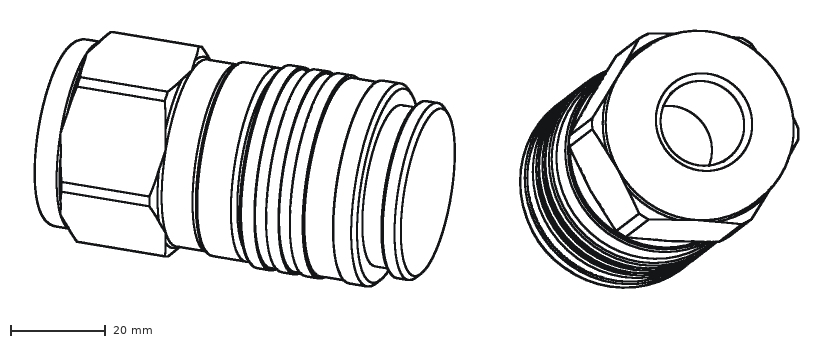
import cadquery as cq
import math

LENGTH = 81.5

NUT_RADIUS = 20.05
NUT_END = 36.6
NUT_FRONT_ROUND = 2.0

HEX_FLAT_RADIUS = NUT_RADIUS
HEX_CORNER_RADIUS = 22.5
HEX_CORNER_START = 7.4
HEX_CORNER_END = 27.0
HEX_CONE_ANGLE = 30.0
HEX_ROOT_FILLET = 0.9

EDGE_CHAMFER = 0.5

NECK_RADIUS = 19.2
COLLAR_RADIUS = 20.8
COLLAR_START = NUT_END
COLLAR_END = 44.6
COLLAR_BACK_ANGLE = 30.0

SLEEVE_RADIUS = 21.8
SLEEVE_START = 46.7
SLEEVE_END = 72.7
SLEEVE_BACK_CHAMFER = 1.0
GROOVE_RADIUS = 21.3
NARROW_GROOVES = [(50.1, 52.7), (55.5, 58.0)]
WIDE_GROOVE = (60.9, 67.7)
BAND_CHAMFER = 0.25

STEM_RADIUS = 17.3
FLANGE_RADIUS = 19.0
FLANGE_START = 77.35
FLANGE_FRONT_CHAMFER = 0.5
FLANGE_BACK_CHAMFER = 1.1

BORE_RADIUS = 9.1
BORE_MOUTH_RADIUS = 10.5

CONE_LENGTH = (HEX_CORNER_RADIUS - NUT_RADIUS) * math.tan(math.radians(HEX_CONE_ANGLE))
ROOT_TANGENT = HEX_ROOT_FILLET * math.tan(math.radians(90 - HEX_CONE_ANGLE) / 2)
HEX_START = HEX_CORNER_START - CONE_LENGTH - ROOT_TANGENT
HEX_END = HEX_CORNER_END + CONE_LENGTH + ROOT_TANGENT
BORE_DEPTH = HEX_END


def revolve_about_x(profile):
    return profile.close().revolve(360, (0, 0, 0), (1, 0, 0))


def cylinder(start, end, radius):
    return cq.Workplane("YZ").workplane(offset=start).circle(radius).extrude(end - start)


def make_nut():
    body = cylinder(0, NUT_END, NUT_RADIUS)
    body = body.faces("<X").edges().fillet(NUT_FRONT_ROUND)
    return body.faces(">X").edges().chamfer(NUT_RADIUS - NECK_RADIUS)


def make_hexagon():
    """Hexagonal prism trimmed by a turned envelope: round corners, end cones, root fillets."""
    cone = math.radians(HEX_CONE_ANGLE)
    tangent_x = ROOT_TANGENT * math.sin(cone)
    tangent_radius = NUT_RADIUS + ROOT_TANGENT * math.cos(cone)
    half_turn = (math.pi / 2 - cone) / 2
    mid_x = HEX_ROOT_FILLET * math.sin(half_turn)
    mid_radius = NUT_RADIUS + HEX_ROOT_FILLET * (1 - math.cos(half_turn))
    envelope = revolve_about_x(
        cq.Workplane("XY")
        .moveTo(HEX_START, 0)
        .lineTo(HEX_START, NUT_RADIUS)
        .threePointArc(
            (HEX_START + mid_x, mid_radius),
            (HEX_START + ROOT_TANGENT + tangent_x, tangent_radius),
        )
        .lineTo(HEX_CORNER_START, HEX_CORNER_RADIUS)
        .lineTo(HEX_CORNER_END, HEX_CORNER_RADIUS)
        .lineTo(HEX_END - ROOT_TANGENT - tangent_x, tangent_radius)
        .threePointArc((HEX_END - mid_x, mid_radius), (HEX_END, NUT_RADIUS))
        .lineTo(HEX_END, 0)
    )
    corner_distance = HEX_FLAT_RADIUS / math.cos(math.pi / 6)
    prism = (
        cq.Workplane("YZ")
        .workplane(offset=HEX_START)
        .polygon(6, 2 * corner_distance)
        .extrude(HEX_END - HEX_START)
    )
    return envelope.intersect(prism)


def make_collar():
    """Neck from the nut to the sleeve, carrying the collar with its sloped back face."""
    slope_length = (COLLAR_RADIUS - NECK_RADIUS) * math.tan(math.radians(COLLAR_BACK_ANGLE))
    neck = cylinder(NUT_END, SLEEVE_START, NECK_RADIUS)
    collar = revolve_about_x(
        cq.Workplane("XY")
        .moveTo(COLLAR_START, 0)
        .lineTo(COLLAR_START, COLLAR_RADIUS - EDGE_CHAMFER)
        .lineTo(COLLAR_START + EDGE_CHAMFER, COLLAR_RADIUS)
        .lineTo(COLLAR_END, COLLAR_RADIUS)
        .lineTo(COLLAR_END + slope_length, NECK_RADIUS)
        .lineTo(COLLAR_END + slope_length, 0)
    )
    return neck.union(collar)


def make_sleeve():
    sleeve = cylinder(SLEEVE_START, SLEEVE_END, SLEEVE_RADIUS)
    sleeve = sleeve.faces("<X").edges().chamfer(EDGE_CHAMFER)
    sleeve = sleeve.faces(">X").edges().chamfer(SLEEVE_BACK_CHAMFER)
    for start, end in NARROW_GROOVES:
        groove = cylinder(start, end, SLEEVE_RADIUS).cut(cylinder(start, end, GROOVE_RADIUS))
        sleeve = sleeve.cut(groove)
    start, end = WIDE_GROOVE
    band = cylinder(start, end, GROOVE_RADIUS).edges().chamfer(BAND_CHAMFER)
    return sleeve.cut(cylinder(start, end, SLEEVE_RADIUS).cut(band))


def make_tail():
    stem = cylinder(SLEEVE_END, FLANGE_START, STEM_RADIUS)
    flange = cylinder(FLANGE_START, LENGTH, FLANGE_RADIUS)
    flange = flange.faces("<X").edges().chamfer(FLANGE_FRONT_CHAMFER)
    flange = flange.faces(">X").edges().chamfer(FLANGE_BACK_CHAMFER)
    return stem.union(flange)


def make_bore():
    mouth_depth = BORE_MOUTH_RADIUS - BORE_RADIUS
    return revolve_about_x(
        cq.Workplane("XY")
        .lineTo(0, BORE_MOUTH_RADIUS)
        .lineTo(mouth_depth, BORE_RADIUS)
        .lineTo(BORE_DEPTH, BORE_RADIUS)
        .lineTo(BORE_DEPTH, 0)
    )


result = (
    make_nut()
    .union(make_hexagon())
    .union(make_collar())
    .union(make_sleeve())
    .union(make_tail())
    .cut(make_bore())
)